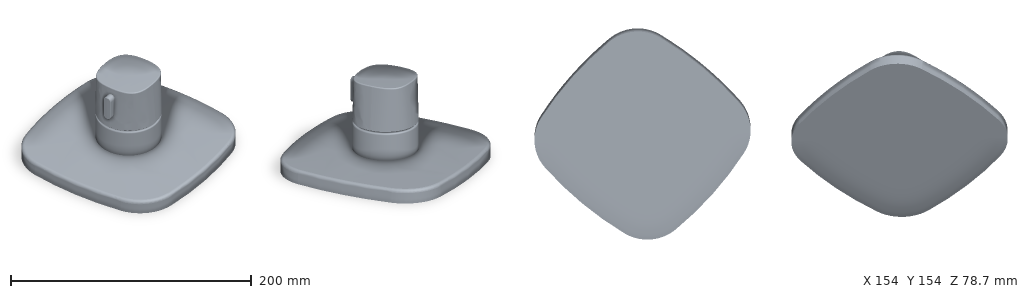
import cadquery as cq
import math

PLATE_HALF_WIDTH = 77.0
PLATE_SIDE_RADIUS = 288.0
PLATE_SIDE_HALF_SPAN = 43.5
PLATE_CROWN_HEIGHT = 14.2
PLATE_RIM_HEIGHT = 12.1
PLATE_EDGE_FILLET = 2.8

PEDESTAL_RADIUS = 27.5
PEDESTAL_TOP = 38.0
PEDESTAL_EDGE_FILLET = 1.5
NECK_RADIUS = 22.0
NECK_OVERLAP = 1.0

KNOB_BOTTOM = 39.1
KNOB_BOTTOM_RADIUS = PEDESTAL_RADIUS
KNOB_TOP = 78.69
KNOB_TOP_HALF_WIDTH = 24.6
KNOB_TOP_DIAGONAL = 27.2
KNOB_DOME_RADIUS = 650.0
KNOB_TOP_FILLET = 1.0
KNOB_BOTTOM_CHAMFER = 0.5

INDICATOR_WIDTH = 7.2
INDICATOR_HEIGHT = 22.2
INDICATOR_CENTER_Z = 61.2
INDICATOR_FRONT_RADIUS = 31.3
INDICATOR_ROOT_DISTANCE = 20.0
INDICATOR_EDGE_CHAMFER = 0.5


def quarter_turn(point, turns):
    """Turn an XY point about the origin by a number of right angles."""
    x, y = point
    for _ in range(turns % 4):
        x, y = -y, x
    return x, y


def base_plate():
    end_angle = math.asin(PLATE_SIDE_HALF_SPAN / PLATE_SIDE_RADIUS)
    bow = PLATE_SIDE_RADIUS * (1 - math.cos(end_angle))
    side_end = PLATE_HALF_WIDTH - bow
    corner_radius = (side_end - PLATE_SIDE_HALF_SPAN) / (math.cos(end_angle) - math.sin(end_angle))
    corner_center = side_end - corner_radius * math.cos(end_angle)
    corner_middle = corner_center + corner_radius * math.sqrt(0.5)

    outline = cq.Workplane("XY").moveTo(side_end, -PLATE_SIDE_HALF_SPAN)
    for turns in range(4):
        outline = outline.threePointArc(
            quarter_turn((PLATE_HALF_WIDTH, 0), turns),
            quarter_turn((side_end, PLATE_SIDE_HALF_SPAN), turns),
        )
        outline = outline.threePointArc(
            quarter_turn((corner_middle, corner_middle), turns),
            quarter_turn((PLATE_SIDE_HALF_SPAN, side_end), turns),
        )
    slab = outline.close().extrude(PLATE_RIM_HEIGHT)

    rim_edges = slab.edges(">Z").vals()
    crown = cq.Vector(0, 0, PLATE_CROWN_HEIGHT)
    domed_top = cq.Face.makeNSidedSurface(rim_edges, [crown])
    shell = cq.Shell.makeShell(slab.faces("not >Z").vals() + [domed_top])
    plate = cq.Workplane(cq.Solid.makeSolid(shell))
    return plate.faces(">Z").edges().fillet(PLATE_EDGE_FILLET)


def pedestal():
    column = cq.Workplane("XY").circle(PEDESTAL_RADIUS).extrude(PEDESTAL_TOP)
    column = column.faces(">Z").edges().fillet(PEDESTAL_EDGE_FILLET)
    neck = cq.Workplane("XY").circle(NECK_RADIUS).extrude(KNOB_BOTTOM + NECK_OVERLAP)
    return column.union(neck)


def four_curve_wire(half_width, diagonal, height):
    """Closed outline of four curves, each running from one mid-side round a corner to the next."""
    corner = diagonal * math.sqrt(0.5)
    edges = []
    for turns in range(4):
        points = [quarter_turn(p, turns) for p in ((half_width, 0), (corner, corner), (0, half_width))]
        tangents = [quarter_turn(t, turns) for t in ((0, 1), (-1, 0))]
        edges.append(cq.Edge.makeSpline(
            [cq.Vector(x, y, height) for x, y in points],
            tangents=[cq.Vector(x, y, 0) for x, y in tangents],
        ))
    return cq.Wire.assembleEdges(edges)


def knob():
    bottom = four_curve_wire(KNOB_BOTTOM_RADIUS, KNOB_BOTTOM_RADIUS, KNOB_BOTTOM)
    top = four_curve_wire(KNOB_TOP_HALF_WIDTH, KNOB_TOP_DIAGONAL, KNOB_TOP)
    body = cq.Workplane(cq.Solid.makeLoft([bottom, top], True))
    dome = cq.Workplane("XY").sphere(KNOB_DOME_RADIUS).translate((0, 0, KNOB_TOP - KNOB_DOME_RADIUS))
    body = body.intersect(dome)
    body = body.faces(">Z").edges().fillet(KNOB_TOP_FILLET)
    return body.faces("<Z").edges().chamfer(KNOB_BOTTOM_CHAMFER)


def indicator():
    rib = (
        cq.Workplane("XZ", origin=(0, -INDICATOR_ROOT_DISTANCE, INDICATOR_CENTER_Z))
        .slot2D(INDICATOR_HEIGHT, INDICATOR_WIDTH, 90)
        .extrude(INDICATOR_FRONT_RADIUS)
    )
    limit = cq.Workplane("XY").circle(INDICATOR_FRONT_RADIUS).extrude(KNOB_TOP)
    return rib.intersect(limit).faces("<Y").edges().chamfer(INDICATOR_EDGE_CHAMFER)


result = base_plate().union(pedestal()).union(knob()).union(indicator())